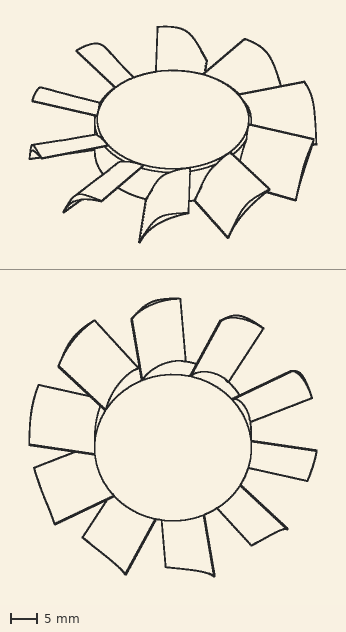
import cadquery as cq

height = 8.05
tip_radius = 27.5

hub_diameter = 30.0
hub_chamfer = 0.5
hub_top_radius = hub_diameter / 2 - hub_chamfer

blade_count = 10
root_radius = 13.75
blank_radius = 28.6
root_width_ratio = 0.88

leading_outer = (-4.9, 0)
outer_middle = (-2.95, 4.0)
outer_shoulder = (-0.2, 7.25)
outer_crest = (1.9, 7.85)
trailing_edge = (4.75, 8.0)
trailing_lip = 0.15
inner_middle = (-0.65, 5.55)
leading_inner = (-4.7, 0)


def blade_section(radius, width_ratio):
    """Thin curved blade section on a plane facing radially outward along +X."""

    def scaled(point):
        across, up = point
        return (across * width_ratio, up)

    trailing_inner = (trailing_edge[0], trailing_edge[1] - trailing_lip)
    return (
        cq.Workplane("YZ", origin=(radius, 0, 0))
        .moveTo(*scaled(leading_outer))
        .spline(
            [scaled(point) for point in (outer_middle, outer_shoulder, outer_crest, trailing_edge)],
            includeCurrent=True,
        )
        .lineTo(*scaled(trailing_inner))
        .threePointArc(scaled(inner_middle), scaled(leading_inner))
        .close()
        .wire()
        .val()
    )


def make_blade():
    """Straight-sided blade that widens outward, trimmed to the round tip and the hub top."""
    sections = [blade_section(root_radius, root_width_ratio), blade_section(blank_radius, 1.0)]
    blank = cq.Workplane(obj=cq.Solid.makeLoft(sections, True))
    swept_ring = cq.Workplane("XY").circle(tip_radius).circle(hub_top_radius).extrude(height)
    return blank.intersect(swept_ring)


def make_hub():
    """Plain disc with a chamfered top rim."""
    disc = cq.Workplane("XY").circle(hub_diameter / 2).extrude(height)
    return disc.faces(">Z").edges().chamfer(hub_chamfer)


blade = make_blade()
result = make_hub()
for index in range(blade_count):
    angle = index * 360 / blade_count
    result = result.union(blade.rotate((0, 0, 0), (0, 0, 1), angle))